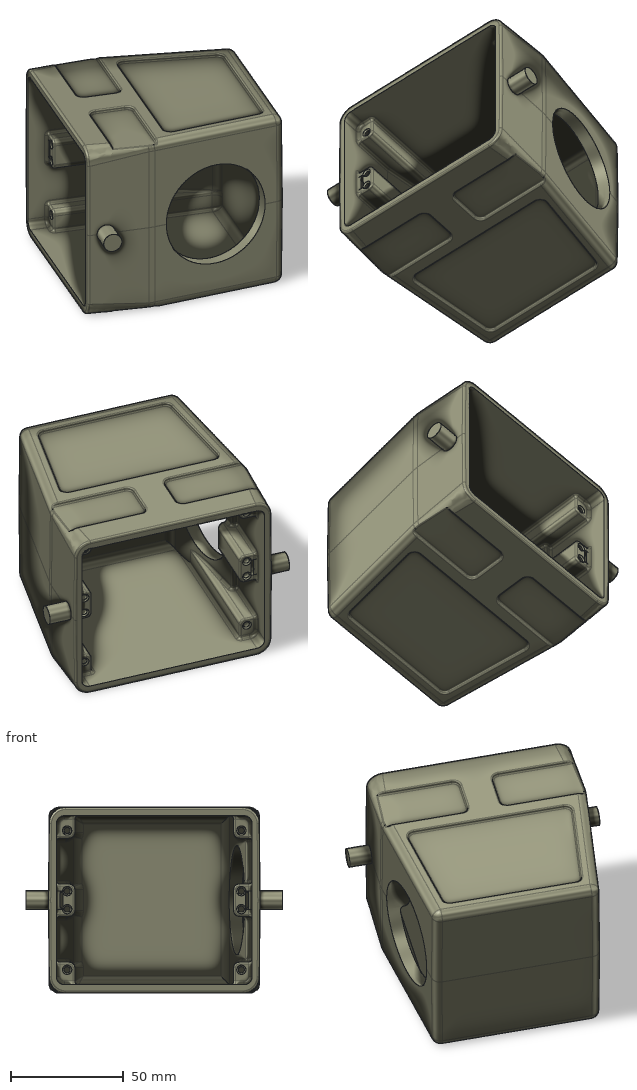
import cadquery as cq
import math


length = 94.0
half_height = 41.3
half_width = 47.0
draft = 0.5
knee_start = 28.5
knee_end = 31.4
side_slope = 8.1
corner_radius = 4.0
opening_corner_radius = 7.4
rim_radius = 1.0
knee_middle = (knee_start + knee_end) / 2
lean = math.tan(math.radians(side_slope))

cavity_half_height = 37.5
cavity_half_width = 43.4
cavity_depth = 86.6
cavity_corner_radius = 3.6
floor_radius = 3.8
thin_wall = half_width - cavity_half_width
thick_wall = 6.0
step_place = 32.8
step_radius = 1.0

boss_front = 9.3
boss_inner_face = 35.2
boss_corner_radius = 2.5
boss_front_radius = 0.8
boss_root_radius = 1.6
central_boss_half = 7.2
corner_boss_edge = 27.5
screw_x = 38.6
screw_heights = (-30.9, -4.0, 4.0, 30.9)
screw_diameter = 2.7
screw_mouth_diameter = 4.1
screw_depth = 9.1
notch_half = 4.1
notch_inner_face = 40.6
notch_depth = 4.6
notch_floor_radius = 1.4

entry_diameter = 48.5
entry_place = 60.8
pin_diameter = 8.4
pin_place = 8.5
pin_reach = 57.0

recess_depth = 1.4
recess_radius = 3.4
recess_edge_radius = 0.63
label_front = 39.0
label_back = 86.6
label_half_front = 38.1
grip_front = 12.4
grip_back = 32.7
grip_inner = 7.3


def side_x(y, wall=0.0):
    """Half width of the sloped side wall at y, less a wall thickness."""
    return half_width - wall - (y - knee_middle) * lean


def mirrored_x(shape):
    return shape.union(shape.mirror("YZ"))


def half_section(radius):
    """Upper half of the cross section in front of the knee."""
    top_half = half_width - half_height * math.tan(math.radians(draft))
    corners = [(-half_width, 0), (half_width, 0), (top_half, half_height), (-top_half, half_height)]
    return cq.Sketch().polygon(corners + corners[:1]).vertices(">Y").fillet(radius)


def half_shell():
    """Solid upper half of the hood."""
    x_end = side_x(length)
    arc_middle = half_width - (knee_end - knee_middle) * lean / 4
    rear = (
        cq.Workplane("XY")
        .moveTo(-half_width, 0)
        .lineTo(half_width, 0)
        .lineTo(half_width, knee_start)
        .threePointArc((arc_middle, knee_middle), (side_x(knee_end), knee_end))
        .lineTo(x_end, length)
        .lineTo(-x_end, length)
        .lineTo(-side_x(knee_end), knee_end)
        .threePointArc((-arc_middle, knee_middle), (-half_width, knee_start))
        .close()
        .extrude(half_height, taper=draft)
    )
    rear = rear.edges(cq.selectors.BoxSelector((-57, length - 2.3, 1.1), (57, length + 2.3, half_height - 1.1))).fillet(
        corner_radius
    )
    rear = rear.faces(">Z").edges("not <Y").fillet(corner_radius)
    rear = rear.intersect(
        cq.Workplane("XY").box(114, length, 114, centered=(True, False, True)).translate((0, knee_start, 0))
    )
    front = (
        cq.Workplane("XZ", origin=(0, knee_start, 0))
        .placeSketch(
            half_section(corner_radius),
            half_section(opening_corner_radius).moved(cq.Location(cq.Vector(0, 0, knee_start))),
        )
        .loft()
    )
    return rear.union(front)


def recess_tool(points):
    tool = cq.Workplane("XY", origin=(0, 0, half_height - recess_depth)).polyline(points).close().extrude(5.7)
    return tool.edges("|Z").fillet(recess_radius).faces("<Z").edges().fillet(recess_edge_radius)


def sink_recess(shell, tool, front, back):
    """Cut a recess between two places and round the rim it leaves in the top face."""
    around = cq.selectors.BoxSelector(
        (-half_width, front - 0.1, half_height - 0.1), (half_width, back + 0.1, half_height + 0.1), boundingbox=True
    )
    return shell.cut(tool).faces(">Z").edges(around).fillet(recess_edge_radius)


def label_recess():
    half_back = label_half_front - (label_back - label_front) * lean
    return recess_tool(
        [
            (-label_half_front, label_front),
            (label_half_front, label_front),
            (half_back, label_back),
            (-half_back, label_back),
        ]
    )


def grip_recess():
    outside = half_width + 5.7
    return recess_tool(
        [(grip_inner, grip_front), (outside, grip_front), (outside, grip_back), (grip_inner, grip_back)]
    )


def boss(z_low, z_high):
    """One boss on the +X wall; it runs back to a rounded foot on the cavity floor."""
    width = cavity_half_width + 11.4 - boss_inner_face
    bar = (
        cq.Workplane("XZ", origin=(boss_inner_face + width / 2, boss_front, (z_low + z_high) / 2))
        .rect(width, z_high - z_low)
        .extrude(boss_front - cavity_depth - 1.1)
    )
    bar = bar.edges("not #Y").edges("<X").fillet(boss_corner_radius)
    bar = bar.faces("<Y").edges("not >X").fillet(boss_front_radius)
    slab = cq.Workplane("XY").box(45.6, length - cavity_depth, 136.8, centered=(True, False, True))
    slab = slab.translate((boss_inner_face, cavity_depth, 0))
    foot = cq.selectors.BoxSelector((0, cavity_depth - 0.1, -57), (51.3, cavity_depth + 0.1, 57))
    return bar.union(slab).edges(foot).edges("not >X").fillet(floor_radius)


def round_boss_roots(space):
    """Round the edges where the boss flanks meet the side walls and the top and bottom of the cavity."""
    boxes = []
    for side in (-1, 1):
        x_low, x_high = sorted((side * (screw_x + 0.1), side * (cavity_half_width + 1.1)))
        for flank in (-corner_boss_edge, -central_boss_half, central_boss_half, corner_boss_edge):
            boxes.append(cq.selectors.BoxSelector((x_low, 13.7, flank - 0.1), (x_high, 57, flank + 0.1)))
        face = side * boss_inner_face
        for end in (-cavity_half_height, cavity_half_height):
            boxes.append(cq.selectors.BoxSelector((face - 0.1, 13.7, end - 0.1), (face + 0.1, 57, end + 0.1)))
    roots = boxes[0]
    for box in boxes[1:]:
        roots = roots + box
    return space.edges(roots).fillet(boss_root_radius)


def cavity():
    half_floor = side_x(cavity_depth, thin_wall)
    profile = (
        cq.Workplane("XY")
        .polyline(
            [
                (-cavity_half_width, 0),
                (cavity_half_width, 0),
                (cavity_half_width, step_place),
                (side_x(step_place, thick_wall), step_place),
                (side_x(cavity_depth, thick_wall), cavity_depth),
                (-half_floor, cavity_depth),
                (-cavity_half_width, knee_middle),
            ]
        )
        .close()
        .extrude(cavity_half_height, both=True)
    )
    step = cq.selectors.BoxSelector((38.8, step_place - 1.1, -1.1), (45.6, step_place + 1.1, 1.1))
    profile = profile.edges(step).fillet(step_radius)
    opening = (
        cq.Workplane("XZ")
        .rect(2 * cavity_half_width, 2 * cavity_half_height)
        .extrude(-length)
        .edges("|Y")
        .fillet(cavity_corner_radius)
    )
    space = profile.intersect(opening).faces(">Y").edges().fillet(floor_radius)
    for low, high in (
        (-central_boss_half, central_boss_half),
        (corner_boss_edge, half_height + 5.7),
        (-half_height - 5.7, -corner_boss_edge),
    ):
        space = space.cut(mirrored_x(boss(low, high)))
    return round_boss_roots(space)


def screw_hole(x, z):
    rim = (screw_mouth_diameter - screw_diameter) / 2
    hole = cq.Workplane("XZ", origin=(x, boss_front, z)).circle(screw_diameter / 2).extrude(-screw_depth)
    mouth = (
        cq.Workplane("XZ", origin=(x, boss_front, z))
        .circle(screw_mouth_diameter / 2)
        .workplane(offset=-rim)
        .circle(screw_diameter / 2)
        .loft()
    )
    return hole.union(mouth)


def notch():
    width = cavity_half_width - notch_inner_face
    block = cq.Workplane("XY").box(width, notch_depth, 2 * notch_half, centered=(False, False, True))
    block = block.faces(">Y").edges("not >X").fillet(notch_floor_radius)
    return block.translate((notch_inner_face, boss_front, 0))


def cable_entry():
    """Round opening square to the sloped +X wall."""
    plane = cq.Plane(
        origin=(side_x(entry_place), entry_place, 0), xDir=(0, 0, 1), normal=(1, lean, 0)
    )
    return cq.Workplane(plane).circle(entry_diameter / 2).extrude(13.7, both=True)


def pin():
    inside = cavity_half_width + 1.1
    return (
        cq.Workplane("YZ", origin=(inside, pin_place, 0)).circle(pin_diameter / 2).extrude(pin_reach - inside)
    )


shell = half_shell()
shell = sink_recess(shell, label_recess(), label_front, label_back)
shell = sink_recess(shell, mirrored_x(grip_recess()), grip_front, grip_back)
body = shell.union(shell.mirror("XY"))
body = body.faces("<Y").edges().fillet(rim_radius)
body = body.cut(cavity())
for height in screw_heights:
    body = body.cut(mirrored_x(screw_hole(screw_x, height)))
body = body.cut(mirrored_x(notch())).cut(cable_entry())
result = body.union(mirrored_x(pin()))